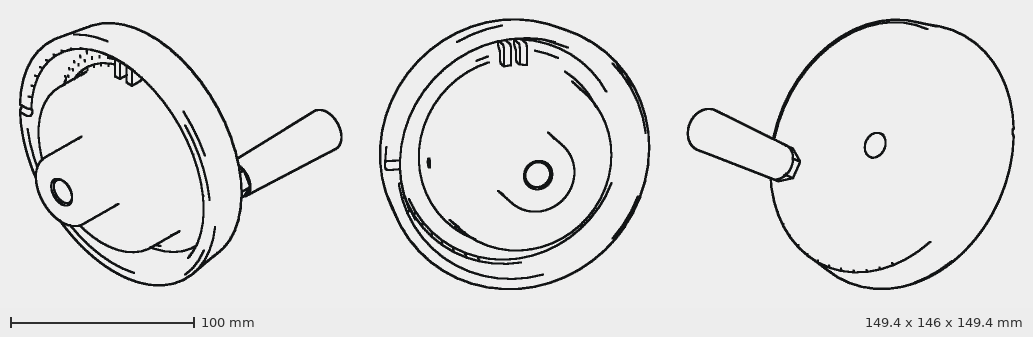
import cadquery as cq
import math


RIM_RADIUS = 75.0
RIM_INNER_RADIUS = 66.75
RIM_WIDTH = 27.0
RIM_OUTER_DRAFT = 8.0
RIM_INNER_DRAFT = 10.0
STEP_DRAFT = 30.0
STEP_Y = 14.0
FLOOR_Y = 18.0
STEP_OUTER_RADIUS = 59.0

DRUM_RADIUS = 101.0 / 2
DRUM_FRONT_Y = -10.0
HUB_RADIUS = 42.0 / 2
HUB_FRONT_Y = -42.0
BORE_RADIUS = 14.0 / 2
BORE_CHAMFER = 1.0

ROUND_RADIUS = 2.0
STEP_EDGE_ROUND_RADIUS = 1.5

RIB_WIDTH = 4.0
RIB_GAP = 5.0
RIB_FRONT_Y = 6.0
RIB_END_RADIUS = 61.9
RIB_ROOT_OVERLAP = 1.0

PIN_HOLE_RADIUS = 5.0 / 2
DRUM_CORE_RADIUS = 86.0 / 2

HANDLE_X = 60.0
HEX_ACROSS_FLATS = 17.0
HEX_LENGTH = 7.0
GRIP_BASE_RADIUS = 10.0
GRIP_END_RADIUS = 12.0
GRIP_LENGTH = 70.0
GRIP_ROUND_RADIUS = 2.0


def drafted(radius, depth, draft_angle):
    """Radius of a drafted wall after going `depth` along the axis."""
    return radius - depth * math.tan(math.radians(draft_angle))


def fillet_rings(body, rings, fillet_radius):
    """Round the circular edges given as (radius, y) pairs."""
    tolerance = 0.001

    def is_wanted(edge):
        if edge.geomType() != "CIRCLE":
            return False
        return any(
            abs(edge.radius() - radius) < tolerance and abs(edge.Center().y - y) < tolerance
            for radius, y in rings
        )

    edges = [edge for edge in body.edges().vals() if is_wanted(edge)]
    return body.newObject(edges).fillet(fillet_radius)


def make_wheel():
    rim_back = (drafted(RIM_RADIUS, RIM_WIDTH, RIM_OUTER_DRAFT), RIM_WIDTH)
    rim_front = (RIM_RADIUS, 0)
    rim_front_inner = (RIM_INNER_RADIUS, 0)
    floor_outer = (drafted(RIM_INNER_RADIUS, FLOOR_Y, RIM_INNER_DRAFT), FLOOR_Y)
    floor_inner = (STEP_OUTER_RADIUS, FLOOR_Y)
    step_edge = (drafted(STEP_OUTER_RADIUS, FLOOR_Y - STEP_Y, STEP_DRAFT), STEP_Y)
    drum_root = (DRUM_RADIUS, STEP_Y)
    drum_front = (DRUM_RADIUS, DRUM_FRONT_Y)
    hub_root = (HUB_RADIUS, DRUM_FRONT_Y)
    hub_front = (HUB_RADIUS, HUB_FRONT_Y)
    outline = [
        (BORE_RADIUS, RIM_WIDTH),
        rim_back,
        rim_front,
        rim_front_inner,
        floor_outer,
        floor_inner,
        step_edge,
        drum_root,
        drum_front,
        hub_root,
        hub_front,
        (BORE_RADIUS + BORE_CHAMFER, HUB_FRONT_Y),
        (BORE_RADIUS, HUB_FRONT_Y + BORE_CHAMFER),
    ]
    wheel = cq.Workplane("XY").polyline(outline).close().revolve(360, (0, 0), (0, 1))
    rounded = [rim_back, rim_front, rim_front_inner, floor_outer, floor_inner, drum_root, drum_front]
    rounded += [hub_root, hub_front]
    wheel = fillet_rings(wheel, rounded, ROUND_RADIUS)
    return fillet_rings(wheel, [step_edge], STEP_EDGE_ROUND_RADIUS)


def make_rib(x_start):
    root_radius = DRUM_RADIUS - RIB_ROOT_OVERLAP
    depth = FLOOR_Y + RIB_ROOT_OVERLAP - RIB_FRONT_Y
    return (
        cq.Workplane("XY")
        .box(RIB_WIDTH, depth, RIB_END_RADIUS - root_radius, centered=False)
        .translate((x_start, RIB_FRONT_Y, root_radius))
        .edges("<Y and >Z")
        .fillet(ROUND_RADIUS)
    )


def make_pin_hole():
    """Radial cutter on the -X side, ending on the drum's core cylinder."""
    cutter = cq.Workplane("YZ").circle(PIN_HOLE_RADIUS).extrude(-RIM_RADIUS)
    core = cq.Workplane("XZ").circle(DRUM_CORE_RADIUS).extrude(RIM_WIDTH, both=True)
    return cutter.cut(core)


def make_handle():
    overlap = RIM_WIDTH - FLOOR_Y
    hex_corner_diameter = HEX_ACROSS_FLATS / math.cos(math.pi / 6)
    collar = (
        cq.Workplane("XZ", origin=(HANDLE_X, RIM_WIDTH - overlap, 0))
        .polygon(6, hex_corner_diameter)
        .extrude(-(overlap + HEX_LENGTH))
    )
    grip_start = RIM_WIDTH + HEX_LENGTH
    grip_end = grip_start + GRIP_LENGTH
    grip = (
        cq.Workplane("XY", origin=(HANDLE_X, 0, 0))
        .polyline([
            (0, grip_start),
            (GRIP_BASE_RADIUS, grip_start),
            (GRIP_END_RADIUS, grip_end),
            (0, grip_end),
        ])
        .close()
        .revolve(360, (0, 0), (0, 1))
        .faces(">Y")
        .edges()
        .fillet(GRIP_ROUND_RADIUS)
    )
    return collar.union(grip)


result = make_wheel()
for rib_start in (RIB_GAP / 2, -RIB_GAP / 2 - RIB_WIDTH):
    result = result.union(make_rib(rib_start))
result = result.cut(make_pin_hole()).union(make_handle())